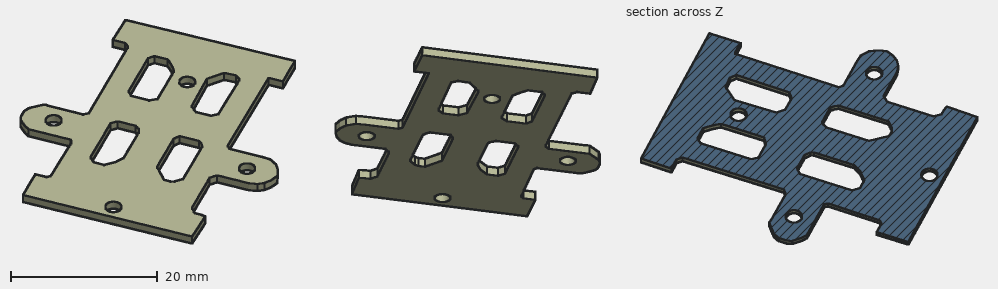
import cadquery as cq
import math


overall_width = 37.15
overall_length = 39.82
thickness = 1.27
tilt_rise = 0.28
tilt = math.asin(tilt_rise / overall_length)
plate_length = (overall_length - thickness * math.sin(tilt)) / math.cos(tilt)

hole_diameter = 2.2
hole_pattern_radius = 14.15

back_right_y = 23.57
back_left_y = 23.35
front_left_y = back_right_y - plate_length
front_right_y = -16.13

back_flange_right = 12.15
back_flange_left = -12.55
back_flange_left_toe = -12.65
back_shoulder_right_y = 18.9
back_shoulder_left_y = 18.75

front_flange_right = 12.25
front_flange_right_toe = 12.42
front_flange_left = -12.42
front_shoulder_y = -11.5
front_shoulder_relief_y = -11.35

waist_right = 10.07
waist_right_at_ear = 9.95
waist_left = -10.2
waist_left_toe = -10.3

right_ear_tip = 18.55
right_ear_back_y = 3.03
right_ear_front_y = -2.83
left_ear_tip = right_ear_tip - overall_width
left_ear_back_y = 2.63
left_ear_front_y = -3.0

back_slot_front_y = 8.65
back_left_slot_back_y = 17.6
back_left_slot_left = -6.75
back_left_slot_right = -2.5
back_right_slot_left = 2.25
back_right_slot_left_front = 2.4
back_right_slot_right = 6.5
back_right_slot_right_front = 6.37
front_slot_front_y = -6.3
front_left_slot_back_y = 2.95
front_left_slot_left = -6.65
front_left_slot_right = -2.4
front_right_slot_back_y = 3.05
front_right_slot_left = 2.55
front_right_slot_right = 6.75

bottom_plane = cq.Workplane("XY", origin=(0, 0, -thickness / 2))


def prism(points):
    """Closed straight-sided outline, extruded through the plate thickness."""
    return bottom_plane.polyline(points).close().extrude(thickness)


back_end = [
    (back_flange_left, back_left_y),
    (back_flange_right, back_right_y),
]
right_waist_behind_ear = [
    (back_flange_right, back_shoulder_right_y),
    (waist_right, back_shoulder_right_y),
    (waist_right_at_ear, right_ear_back_y + 0.48),
]
right_ear = [
    (waist_right_at_ear + 0.45, right_ear_back_y),
    (15.25, right_ear_back_y),
    (16.4, 2.95),
    (17.55, 2.2),
    (18.15, 1.27),
    (right_ear_tip, 0),
    (18.08, -1.2),
    (17.45, -2.05),
    (16.65, -2.55),
    (15.53, right_ear_front_y),
    (waist_right + 0.75, right_ear_front_y),
]
right_waist_before_ear = [
    (waist_right, right_ear_front_y - 0.85),
    (waist_right, front_shoulder_relief_y + 0.88),
    (waist_right + 0.75, front_shoulder_relief_y),
    (11.65, front_shoulder_relief_y),
]
front_end = [
    (front_flange_right_toe, front_shoulder_y),
    (front_flange_right, front_right_y),
    (front_flange_left, front_left_y),
    (front_flange_left, front_shoulder_y),
]
left_waist_before_ear = [
    (waist_left_toe - 0.45, front_shoulder_y),
    (waist_left_toe, front_shoulder_y + 0.4),
    (waist_left, left_ear_front_y - 0.4),
]
left_ear = [
    (waist_left - 0.3, left_ear_front_y),
    (-16.65, left_ear_front_y),
    (-17.32, -2.55),
    (-17.88, -2.05),
    (-18.4, -1.5),
    (left_ear_tip, -0.88),
    (left_ear_tip, 0.35),
    (-18.45, 0.7),
    (-18.15, 1.27),
    (-16.5, 2.7),
    (-15.9, left_ear_back_y),
    (waist_left - 0.65, left_ear_back_y),
]
left_waist_behind_ear = [
    (waist_left, left_ear_back_y + 0.5),
    (waist_left, back_shoulder_left_y - 0.6),
    (waist_left - 0.65, back_shoulder_left_y),
    (back_flange_left_toe, back_shoulder_left_y),
]
plate = prism(
    back_end
    + right_waist_behind_ear
    + right_ear
    + right_waist_before_ear
    + front_end
    + left_waist_before_ear
    + left_ear
    + left_waist_behind_ear
)

back_left_slot = [
    (back_left_slot_left + 0.65, back_left_slot_back_y),
    (-4.2, back_left_slot_back_y),
    (-3.42, 16.85),
    (-2.85, 16.15),
    (back_left_slot_right, 15.65),
    (back_left_slot_right, back_slot_front_y + 0.68),
    (back_left_slot_right - 0.95, back_slot_front_y),
    (back_left_slot_left + 0.65, back_slot_front_y),
    (back_left_slot_left, back_slot_front_y + 0.8),
    (back_left_slot_left, back_left_slot_back_y - 0.7),
]
back_right_slot = [
    (4.02, 17.7),
    (5.7, 17.8),
    (back_right_slot_right, 17.2),
    (back_right_slot_right_front, back_slot_front_y + 0.68),
    (back_right_slot_right_front - 0.8, back_slot_front_y),
    (back_right_slot_left_front + 0.95, back_slot_front_y),
    (back_right_slot_left_front, back_slot_front_y + 0.9),
    (back_right_slot_left, 15.7),
]
front_left_slot = [
    (front_left_slot_left + 0.75, front_left_slot_back_y),
    (front_left_slot_right - 0.9, front_left_slot_back_y),
    (front_left_slot_right - 0.15, front_left_slot_back_y - 0.55),
    (front_left_slot_right, front_left_slot_back_y - 0.95),
    (front_left_slot_right, -4.0),
    (-3.1, -5.18),
    (-4.35, front_slot_front_y),
    (front_left_slot_left + 0.8, front_slot_front_y),
    (front_left_slot_left, front_slot_front_y + 0.8),
    (front_left_slot_left, front_left_slot_back_y - 0.7),
]
front_right_slot = [
    (front_right_slot_left + 0.55, front_right_slot_back_y),
    (front_right_slot_right - 0.8, front_right_slot_back_y),
    (front_right_slot_right - 0.35, front_right_slot_back_y - 0.35),
    (front_right_slot_right, front_right_slot_back_y - 0.9),
    (front_right_slot_right, -5.2),
    (5.85, -6.1),
    (5.35, front_slot_front_y),
    (4.42, front_slot_front_y),
    (front_right_slot_left, -4.1),
    (front_right_slot_left, front_right_slot_back_y - 0.85),
]
for slot in (back_left_slot, back_right_slot, front_left_slot, front_right_slot):
    plate = plate.cut(prism(slot))

holes = (
    bottom_plane
    .polarArray(hole_pattern_radius, 0, 360, 4)
    .circle(hole_diameter / 2)
    .extrude(thickness)
)
plate = plate.cut(holes)

result = plate.rotate((0, 0, 0), (1, 0, 0), -math.degrees(tilt))